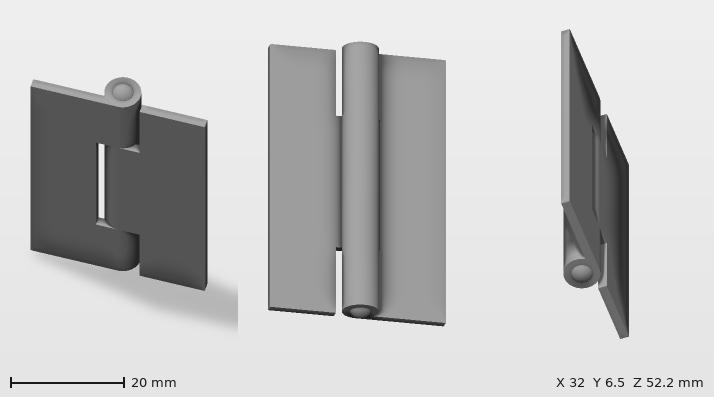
import cadquery as cq

total_height = 52.2
leaf_height = 50.0
hinge_width = 32.0
barrel_diameter = 6.5
plate_thickness = 1.6
pin_diameter = 3.8
knuckle_gap = 4.0
corner_radius = 0.2

half_width = hinge_width / 2
barrel_radius = barrel_diameter / 2
pin_radius = pin_diameter / 2
middle_height = leaf_height / 2
end_height = (leaf_height - middle_height) / 2
dome_height = (total_height - leaf_height) / 2


def plate_block(inner_x, outer_x, bottom_z, height):
    """Flat plate whose outer face is tangent to the barrel."""
    return cq.Workplane("XY").box(
        outer_x - inner_x, plate_thickness, height, centered=False
    ).translate((inner_x, -barrel_radius, bottom_z))


def knuckle_section(bottom_z, height):
    """Bored barrel joined to the plate that runs from the pin axis toward +X."""
    barrel = cq.Workplane("XY").circle(barrel_radius).extrude(height)
    barrel = barrel.translate((0, 0, bottom_z))
    bore = cq.Workplane("XY").circle(pin_radius).extrude(height)
    bore = bore.translate((0, 0, bottom_z))
    return barrel.union(plate_block(0, half_width, bottom_z, height)).cut(bore)


def make_leaf(knuckle_spans):
    """Leaf on the +X side with a knuckle at each (bottom, height) span."""
    leaf = plate_block(knuckle_gap, half_width, -leaf_height / 2, leaf_height)
    for bottom_z, height in knuckle_spans:
        leaf = leaf.union(knuckle_section(bottom_z, height))
    return leaf.faces(">X").edges("|Y").fillet(corner_radius)


def make_pin():
    """Straight pin with a shallow spherical dome on each end."""
    shoulder_z = leaf_height / 2
    tip_z = total_height / 2
    sphere_radius = (pin_radius**2 + dome_height**2) / (2 * dome_height)
    mid_height = (sphere_radius**2 - (pin_radius / 2) ** 2) ** 0.5
    mid_z = tip_z - sphere_radius + mid_height
    return (
        cq.Workplane("XZ")
        .moveTo(0, -tip_z)
        .threePointArc((pin_radius / 2, -mid_z), (pin_radius, -shoulder_z))
        .lineTo(pin_radius, shoulder_z)
        .threePointArc((pin_radius / 2, mid_z), (0, tip_z))
        .close()
        .revolve(360, (0, 0, 0), (0, 1, 0))
    )


middle_leaf = make_leaf([(-middle_height / 2, middle_height)])

end_spans = [
    (-leaf_height / 2, end_height),
    (middle_height / 2, end_height),
]
outer_leaf = make_leaf(end_spans).mirror("YZ")

pin = make_pin()

result = cq.Compound.makeCompound([middle_leaf.val(), outer_leaf.val(), pin.val()])